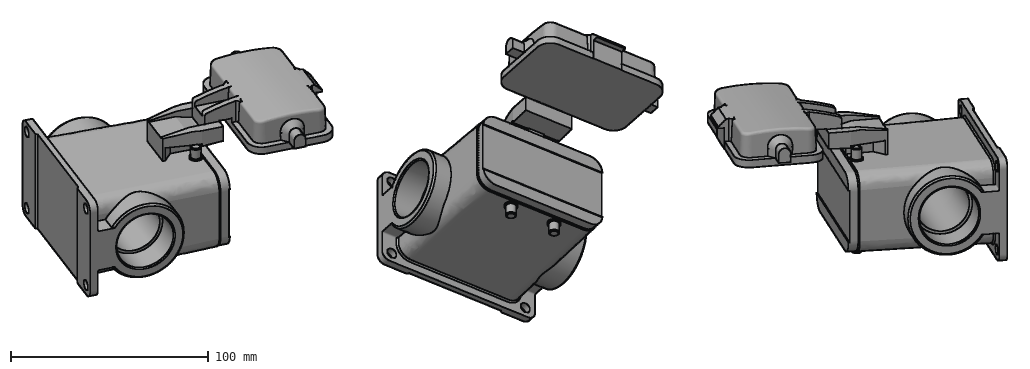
import cadquery as cq

OVERLAP = 0.7

PLATE_WIDTH, PLATE_HEIGHT, PLATE_THICK = 94.0, 55.9, 4.3
PLATE_CORNER = 4.7
MOUNT_HOLE_DIA = 5.5
MOUNT_HOLE_X, MOUNT_HOLE_Z = 41.0, 22.5
RELIEF_WIDTH, RELIEF_DEPTH = 58.1, 1.0

BODY_WIDTH, BODY_HEIGHT = 74.9, 45.2
BODY_END_Y = 74.5
BODY_CORNER = 7.5
BODY_END_WIDTH, BODY_END_HEIGHT, BODY_END_CORNER = 73.2, 43.5, 8.0
BEVEL_LENGTH, BEVEL_ANGLE = 0.9, 30.0
BODY_FOOT_CHAMFER, BODY_FOOT_ANGLE = 0.9, 45.0
RIM_WIDTH, RIM_HEIGHT, RIM_END_Y = 73.2, 42.8, 80.4
RIM_DIP_HEIGHT, RIM_DIP_DEPTH = 28.1, 0.5

PORT_Y = 30.2
PORT_RADIUS = 21.4
PORT_CHAMFER = 1.0
PORT_BORE_RADIUS, PORT_BORE_DEPTH = 15.5, 15.6
PORT_THROUGH_RADIUS = 13.9
BORE_CHAMFER = 0.7
WEB_HEIGHT = 23.0
WEB_FILLET = 0.9

PEG_X, PEG_Y, PEG_TOP = 13.2, 70.9, 28.5
PEG_RADIUS, PEG_TIP_CHAMFER = 2.7, 0.5
PEG_FOOT_RADIUS, PEG_FOOT_TOP = 3.4, 22.5

HINGE_REAR_Y, HINGE_BEND_Y, HINGE_FRONT_Y = 85.7, 74.0, 53.9
HINGE_REAR_HALF, HINGE_FRONT_HALF = 14.2, 10.5
HINGE_TOP, HINGE_FRONT_TOP = 37.6, 35.2
HINGE_REAR_BOTTOM, HINGE_BEND_BOTTOM, HINGE_BOTTOM = 29.1, 28.4, 29.6
HINGE_SLOPE_Y = 69.2
SLOT_FLOOR, SLOT_BEND_Y = 34.5, 68.5
SLOT_LOW_FLOOR, SLOT_LOW_Y = 32.3, 76.3
FRONT_WALL = 1.4
COLUMN_FRONT_Y, COLUMN_REAR_Y, COLUMN_HALF = 60.3, 74.6, 4.8

LID_Y = 115.5
LID_BOTTOM, FLANGE_TOP = 31.3, 35.5
FLANGE_WIDTH, FLANGE_LENGTH, FLANGE_CORNER = 75.2, 46.1, 7.8
DOME_WIDTH, DOME_LENGTH, DOME_CORNER = 68.4, 40.0, 5.2
DOME_TAPER = 2.0
DOME_FILLET = 1.5
CROWN_TOP, CROWN_EDGE_TOP = 49.6, 48.0

LEVER_WIDTH, LEVER_END_Y = 17.3, 77.6
LEVER_BOTTOM = 37.9
LEVER_ROUND = 1.7
POCKET_WIDTH, POCKET_FLOOR = 9.9, 40.7
CATCH_TIP_Y, CATCH_REAR_Y = 141.8, 138.7
CATCH_SLOPE_Y, CATCH_SLOPE_TOP = 137.7, 47.7
CATCH_TIP_TOP, CATCH_TIP_BOTTOM = 43.7, 42.8
JUNCTION_REACH = 0.9

PIN_END_X, PIN_RADIUS, PIN_Z, PIN_BOTTOM = 44.5, 3.1, 40.0, 35.3
FLARE_END_X, FLARE_RADIUS, FLARE_START_X = 37.6, 6.5, 33.9


def along_y(y):
    """Workplane across the housing axis, facing +Y."""
    return cq.Workplane(cq.Plane(origin=(0, y, 0), xDir=(1, 0, 0), normal=(0, 1, 0)))


def box(x_size, y_range, z_range):
    """Box centred on X = 0 between the given Y and Z limits."""
    y0, y1 = y_range
    z0, z1 = z_range
    centre = (0, (y0 + y1) / 2, (z0 + z1) / 2)
    return cq.Workplane("XY").box(x_size, y1 - y0, z1 - z0).translate(centre)


def side_profile(points, width):
    """Prism centred on X = 0 from a closed (Y, Z) outline."""
    return cq.Workplane("YZ").polyline(points).close().extrude(width / 2, both=True)


def both_sides(shape):
    """The shape together with its mirror image across X = 0."""
    return shape.union(shape.mirror("YZ"))


def rounded_slab(y_start, width, height, length, corner, taper=0):
    """Round-cornered block running along +Y from y_start, optionally drawn in by a taper angle."""
    outline = cq.Sketch().rect(width, height).vertices().fillet(corner)
    return along_y(y_start).placeSketch(outline).extrude(length, taper=taper)


def make_housing():
    plate = rounded_slab(0, PLATE_WIDTH, PLATE_HEIGHT, PLATE_THICK, PLATE_CORNER)
    body_foot = cq.Sketch().rect(BODY_WIDTH, BODY_HEIGHT).vertices().fillet(BODY_CORNER)
    body_end = cq.Sketch().rect(BODY_END_WIDTH, BODY_END_HEIGHT).vertices().fillet(BODY_END_CORNER)
    body_end = body_end.moved(cq.Location(cq.Vector(0, 0, BODY_END_Y - PLATE_THICK)))
    body = along_y(PLATE_THICK).placeSketch(body_foot, body_end).loft(ruled=True)
    bevel = rounded_slab(
        BODY_END_Y, BODY_END_WIDTH, BODY_END_HEIGHT, BEVEL_LENGTH, BODY_END_CORNER, BEVEL_ANGLE
    )
    foot = rounded_slab(
        PLATE_THICK,
        BODY_WIDTH + 2 * BODY_FOOT_CHAMFER,
        BODY_HEIGHT + 2 * BODY_FOOT_CHAMFER,
        BODY_FOOT_CHAMFER,
        BODY_CORNER + BODY_FOOT_CHAMFER,
        BODY_FOOT_ANGLE,
    )
    rim_start = BODY_END_Y + BEVEL_LENGTH
    rim = rounded_slab(rim_start, RIM_WIDTH, RIM_HEIGHT, RIM_END_Y - rim_start, BODY_END_CORNER)
    dip_half = RIM_DIP_HEIGHT / 2
    dip = box(RIM_WIDTH, (RIM_END_Y - RIM_DIP_DEPTH, RIM_END_Y), (-dip_half, dip_half))
    return plate.union(body).union(foot).union(bevel).union(rim.cut(dip))


def make_ports():
    half_width = PLATE_WIDTH / 2
    barrel = cq.Workplane("YZ").center(PORT_Y, 0).circle(PORT_RADIUS).extrude(half_width, both=True)
    barrel = barrel.faces("<X or >X").chamfer(PORT_CHAMFER)
    web = box(PLATE_WIDTH, (0, PORT_Y), (-WEB_HEIGHT / 2, WEB_HEIGHT / 2))
    bridge = box(PLATE_WIDTH, (0, PLATE_THICK), (-PORT_RADIUS, PORT_RADIUS)).union(web)
    for side in (-1, 1):
        inner_corner = (0, PLATE_THICK, side * WEB_HEIGHT / 2)
        bridge = bridge.edges(cq.selectors.NearestToPointSelector(inner_corner)).fillet(WEB_FILLET)
    return barrel.union(bridge)


def make_port_bores():
    half_width = PLATE_WIDTH / 2
    shoulder_x = half_width - PORT_BORE_DEPTH
    mouth_radius = PORT_BORE_RADIUS + BORE_CHAMFER
    half_profile = [
        (0, 0),
        (0, PORT_THROUGH_RADIUS),
        (shoulder_x, PORT_THROUGH_RADIUS),
        (shoulder_x, PORT_BORE_RADIUS),
        (half_width - BORE_CHAMFER, PORT_BORE_RADIUS),
        (half_width, mouth_radius),
        (half_width, 0),
    ]
    bore = cq.Workplane("XY").polyline(half_profile).close().revolve(360, (0, 0, 0), (1, 0, 0))
    return both_sides(bore.translate((0, PORT_Y, 0)))


def make_plate_cuts():
    hole_points = [(x, z) for x in (-MOUNT_HOLE_X, MOUNT_HOLE_X) for z in (-MOUNT_HOLE_Z, MOUNT_HOLE_Z)]
    holes = along_y(0).pushPoints(hole_points).circle(MOUNT_HOLE_DIA / 2).extrude(PLATE_THICK)
    half = RELIEF_WIDTH / 2
    floor_half = half - RELIEF_DEPTH
    relief_outline = [(-half, 0), (half, 0), (floor_half, RELIEF_DEPTH), (-floor_half, RELIEF_DEPTH)]
    relief = cq.Workplane("XY").polyline(relief_outline).close().extrude(PLATE_HEIGHT / 2, both=True)
    return holes.union(relief)


def make_pegs():
    points = [(-PEG_X, PEG_Y), (PEG_X, PEG_Y)]
    pegs = cq.Workplane("XY").pushPoints(points).circle(PEG_RADIUS).extrude(PEG_TOP, both=True)
    pegs = pegs.faces("<Z or >Z").chamfer(PEG_TIP_CHAMFER)
    feet = cq.Workplane("XY").pushPoints(points).circle(PEG_FOOT_RADIUS).extrude(PEG_FOOT_TOP, both=True)
    return pegs.union(feet)


def make_hinge():
    half_plan = [
        (HINGE_REAR_HALF, HINGE_REAR_Y),
        (HINGE_REAR_HALF, HINGE_BEND_Y),
        (HINGE_FRONT_HALF, HINGE_FRONT_Y),
    ]
    plan = half_plan + [(-x, y) for x, y in reversed(half_plan)]
    footprint = cq.Workplane("XY").polyline(plan).close().extrude(HINGE_TOP)
    foot_z = BODY_HEIGHT / 2 - 2 * OVERLAP
    profile = side_profile(
        [
            (HINGE_REAR_Y, HINGE_REAR_BOTTOM),
            (HINGE_REAR_Y, HINGE_TOP),
            (HINGE_SLOPE_Y, HINGE_TOP),
            (HINGE_FRONT_Y, HINGE_FRONT_TOP),
            (HINGE_FRONT_Y, foot_z),
            (HINGE_FRONT_Y + FRONT_WALL, foot_z),
            (HINGE_FRONT_Y + FRONT_WALL, HINGE_BOTTOM),
            (HINGE_BEND_Y, HINGE_BOTTOM),
            (HINGE_BEND_Y, HINGE_BEND_BOTTOM),
        ],
        2 * HINGE_REAR_HALF,
    )
    slot = side_profile(
        [
            (HINGE_FRONT_Y, SLOT_FLOOR),
            (SLOT_BEND_Y, SLOT_FLOOR),
            (SLOT_LOW_Y, SLOT_LOW_FLOOR),
            (HINGE_REAR_Y, SLOT_LOW_FLOOR),
            (HINGE_REAR_Y, HINGE_TOP),
            (HINGE_FRONT_Y, HINGE_TOP),
        ],
        LEVER_WIDTH,
    )
    column_half_plan = [
        (COLUMN_HALF, COLUMN_REAR_Y),
        (COLUMN_HALF, COLUMN_FRONT_Y),
        (HINGE_FRONT_HALF, HINGE_FRONT_Y + FRONT_WALL),
    ]
    column_plan = column_half_plan + [(-x, y) for x, y in reversed(column_half_plan)]
    column = cq.Workplane("XY").workplane(offset=foot_z).polyline(column_plan).close()
    column = column.extrude(HINGE_BOTTOM + OVERLAP - foot_z)
    return footprint.intersect(profile).cut(slot).union(column)


def make_lid_shell():
    base = cq.Workplane("XY").workplane(offset=LID_BOTTOM).center(0, LID_Y)
    flange = base.rect(FLANGE_WIDTH, FLANGE_LENGTH).extrude(FLANGE_TOP - LID_BOTTOM)
    flange = flange.edges("|Z").fillet(FLANGE_CORNER)

    dome_outline = cq.Sketch().rect(DOME_WIDTH, DOME_LENGTH).vertices().fillet(DOME_CORNER)
    dome = base.placeSketch(dome_outline).extrude(CROWN_TOP - LID_BOTTOM + OVERLAP, taper=DOME_TAPER)
    dome = dome.intersect(make_crown())
    dome = dome.faces(">Z").edges().fillet(DOME_FILLET)
    return flange.union(dome)


def make_crown():
    """Everything under the arched crown surface of the lid."""
    half_length = DOME_LENGTH / 2
    sagitta = CROWN_TOP - CROWN_EDGE_TOP
    radius = (half_length ** 2 + sagitta ** 2) / (2 * sagitta)
    arch = cq.Workplane("YZ").center(LID_Y, CROWN_TOP - radius).circle(radius)
    return arch.extrude(FLANGE_WIDTH / 2, both=True)


def make_lever():
    """Pocketed arm that runs from the dome into the hinge slot, its top following the crown."""
    flange_front_y = LID_Y - FLANGE_LENGTH / 2
    arm = side_profile(
        [
            (LID_Y, FLANGE_TOP),
            (flange_front_y, FLANGE_TOP),
            (flange_front_y, LEVER_BOTTOM),
            (LEVER_END_Y, LEVER_BOTTOM),
            (LEVER_END_Y, CROWN_TOP),
            (LID_Y, CROWN_TOP),
        ],
        LEVER_WIDTH,
    )
    arm = arm.intersect(make_crown()).faces("<Y").edges(">Z").fillet(LEVER_ROUND)
    foot = box(LEVER_WIDTH, (LEVER_END_Y, HINGE_REAR_Y), (SLOT_LOW_FLOOR - OVERLAP, LEVER_BOTTOM))
    dome_front_y = LID_Y - DOME_LENGTH / 2
    pocket = box(POCKET_WIDTH, (LEVER_END_Y, dome_front_y + 2 * DOME_FILLET), (POCKET_FLOOR, CROWN_TOP))
    return arm.union(foot).union(make_junction(-1)).cut(pocket)


def make_catch():
    """Tab opposite the lever, its top following the crown down to a pointed lip."""
    body = side_profile(
        [
            (LID_Y, LID_BOTTOM),
            (CATCH_REAR_Y, LID_BOTTOM),
            (CATCH_REAR_Y, CATCH_TIP_BOTTOM),
            (CATCH_TIP_Y, CATCH_TIP_BOTTOM),
            (CATCH_TIP_Y, CATCH_TIP_TOP),
            (CATCH_SLOPE_Y, CATCH_SLOPE_TOP),
            (CATCH_SLOPE_Y, CROWN_TOP),
            (LID_Y, CROWN_TOP),
        ],
        LEVER_WIDTH,
    )
    return body.intersect(make_crown()).union(make_junction(1))


def make_junction(side):
    """Flare where the lever (side -1) or the catch (side 1) leaves the dome."""
    half = LEVER_WIDTH / 2
    root = DOME_LENGTH / 2 - DOME_FILLET
    reach = DOME_LENGTH / 2 + JUNCTION_REACH
    flare = reach - root
    outline = [(half, reach), (half + flare, root), (-half - flare, root), (-half, reach)]
    placed_outline = [(x, LID_Y + side * y) for x, y in outline]
    prism = cq.Workplane("XY").workplane(offset=LID_BOTTOM).polyline(placed_outline).close()
    return prism.extrude(CROWN_TOP - LID_BOTTOM).intersect(make_crown())


def pin_section(x, radius):
    """Arch-topped, flat-bottomed outline of a side pin at the given X."""
    foot = PIN_BOTTOM - PIN_Z
    start = cq.Workplane("YZ").workplane(offset=x).center(LID_Y, PIN_Z).moveTo(-radius, foot)
    return start.lineTo(-radius, 0).threePointArc((0, radius), (radius, 0)).lineTo(radius, foot).close()


def make_side_pins():
    pin = pin_section(FLARE_START_X, PIN_RADIUS).extrude(PIN_END_X - FLARE_START_X)
    reach = FLARE_END_X - FLARE_START_X
    cone = cq.Workplane(cq.Solid.makeCone(
        FLARE_RADIUS, PIN_RADIUS, reach, cq.Vector(FLARE_START_X, LID_Y, PIN_Z), cq.Vector(1, 0, 0)
    ))
    flare_span = (LID_Y - FLARE_RADIUS, LID_Y + FLARE_RADIUS)
    upper_half = box(2 * FLARE_END_X, flare_span, (PIN_Z, PIN_Z + FLARE_RADIUS))
    skirt_plan = [
        (FLARE_START_X, -FLARE_RADIUS),
        (FLARE_END_X, -PIN_RADIUS),
        (FLARE_END_X, PIN_RADIUS),
        (FLARE_START_X, FLARE_RADIUS),
    ]
    skirt = cq.Workplane("XY").workplane(offset=PIN_BOTTOM).center(0, LID_Y).polyline(skirt_plan).close()
    skirt = skirt.extrude(PIN_Z - PIN_BOTTOM)
    return both_sides(pin.union(cone.intersect(upper_half)).union(skirt))


housing = make_housing().union(make_ports()).union(make_pegs())
housing = housing.cut(make_port_bores()).cut(make_plate_cuts())
lid = make_lid_shell().union(make_lever()).union(make_catch()).union(make_side_pins())
result = housing.union(make_hinge()).union(lid)